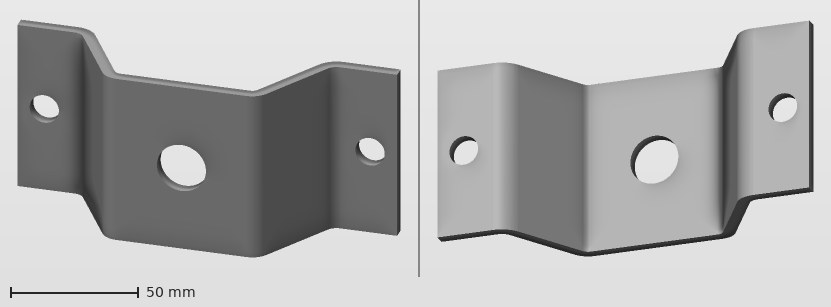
import cadquery as cq
import math

length = 155.0
depth = 40.0
height = 70.0
thickness = 5.0

bend_angle = math.radians(60)
web_inner_radius = 3.1
web_outer_radius = web_inner_radius + thickness
flange_inner_radius = 5.0
flange_outer_radius = flange_inner_radius + thickness
web_flat_width = 53.0

web_hole_diameter = 20.0
flange_hole_diameter = 12.0
flange_hole_spacing = 133.0

web_front = -depth / 2
web_back = web_front + thickness
flange_back = depth / 2
flange_front = flange_back - thickness

half_length = length / 2
web_outer_corner = web_flat_width / 2 + web_outer_radius * math.tan(bend_angle / 2)
miter_shift = thickness * math.tan(bend_angle / 2)
web_inner_corner = web_outer_corner - miter_shift
leg_run = (depth - thickness) / math.tan(bend_angle)
flange_inner_corner = web_outer_corner + leg_run
flange_outer_corner = web_inner_corner + leg_run


def make_sharp_strap():
    """Constant-thickness hat profile with sharp corners, extruded along Z."""
    right_front = [
        (web_outer_corner, web_front),
        (flange_inner_corner, flange_front),
        (half_length, flange_front),
    ]
    right_back = [
        (half_length, flange_back),
        (flange_outer_corner, flange_back),
        (web_inner_corner, web_back),
    ]
    right_side = right_front + right_back
    left_side = [(-x, y) for x, y in reversed(right_side)]
    profile = cq.Workplane("XY").polyline(right_side + left_side).close()
    return profile.extrude(height / 2, both=True)


def round_bends(body):
    """Round both faces of all four bends."""
    bends = [
        (web_outer_corner, web_front, web_outer_radius),
        (web_inner_corner, web_back, web_inner_radius),
        (flange_inner_corner, flange_front, flange_inner_radius),
        (flange_outer_corner, flange_back, flange_outer_radius),
    ]
    for x, y, radius in bends:
        for side in (-1, 1):
            corner = cq.NearestToPointSelector((side * x, y, 0))
            body = body.edges("|Z").edges(corner).fillet(radius)
    return body


def hole_cutter(x, diameter):
    """Cylinder along Y that passes through the full depth at mid height."""
    return cq.Workplane("XZ").center(x, 0).circle(diameter / 2).extrude(depth, both=True)


result = round_bends(make_sharp_strap())
result = result.cut(hole_cutter(0, web_hole_diameter))
for side in (-1, 1):
    result = result.cut(hole_cutter(side * flange_hole_spacing / 2, flange_hole_diameter))